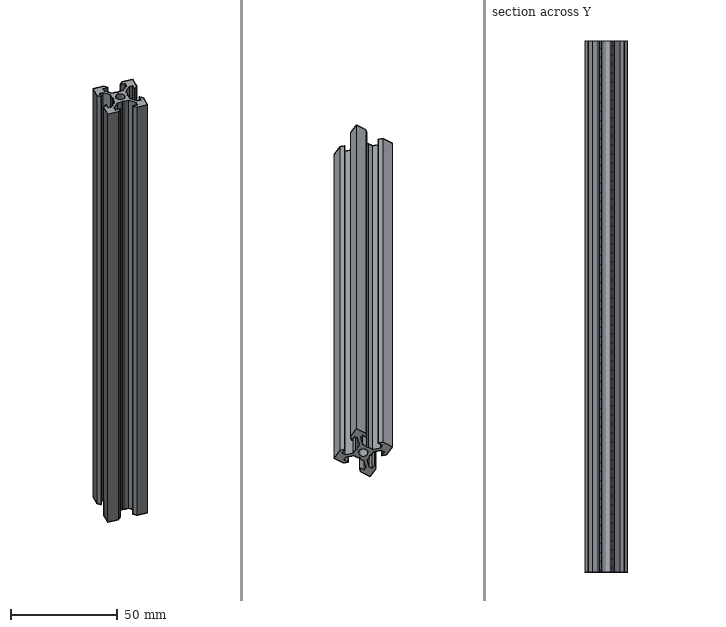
import cadquery as cq
import math

length = 250.0
side = 20.0
skin = 1.8
mouth_width = 9.2
throat_width = 6.2
cavity_width = 11.0
core_width = 7.8
web_thickness = 1.5
bore_diameter = 4.2
groove_width = 1.0
groove_depth = 0.5

half_side = side / 2
half_mouth = mouth_width / 2
half_throat = throat_width / 2
half_cavity = cavity_width / 2
half_core = core_width / 2
flare_depth = half_mouth - half_throat
web_offset = web_thickness / math.sqrt(2)


def make_slot():
    """Full-length cutter for the slot in the +Y side."""
    groove_bottom = (0, half_core - groove_depth)
    right_half = [
        (groove_width / 2, half_core),
        (half_core - web_offset, half_core),
        (half_cavity, half_cavity + web_offset),
        (half_cavity, half_side - skin),
        (half_throat, half_side - skin),
        (half_throat, half_side - flare_depth),
        (half_mouth, half_side),
    ]
    left_half = [(-x, y) for x, y in reversed(right_half)]
    return cq.Workplane("XY").polyline([groove_bottom] + right_half + left_half).close().extrude(length)


result = cq.Workplane("XY").rect(side, side).extrude(length)

slot = make_slot()
for angle in (0, 90, 180, 270):
    result = result.cut(slot.rotate((0, 0, 0), (0, 0, 1), angle))

bore = cq.Workplane("XY").circle(bore_diameter / 2).extrude(length)
result = result.cut(bore)